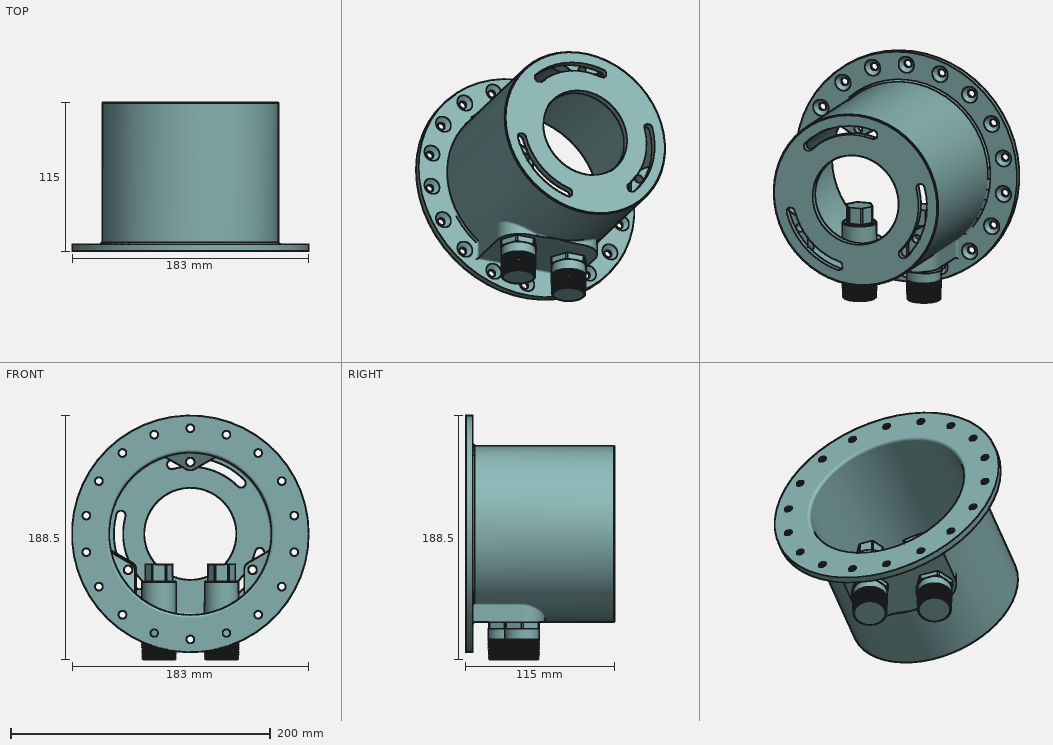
import cadquery as cq
import math

FLANGE_RADIUS = 91.5
FLANGE_THICKNESS = 5.5
TOTAL_DEPTH = 115.0
TUBE_RADIUS = 68.0
TUBE_END_CHAMFER = 0.8
TUBE_FLANGE_FILLET = 1.5

BORE_RADIUS = 62.6
MOUTH_FILLET = 2.5
FLOOR_FILLET = 1.9
PLATE_THICKNESS = 5.7
PLATE_INNER_Y = TOTAL_DEPTH - PLATE_THICKNESS
PLATE_HOLE_RADIUS = 35.5

BOLT_COUNT = 18
BOLT_CIRCLE_RADIUS = 81.5
BOLT_HOLE_DIAMETER = 5.8
BOLT_SINK_LIP = 1.9
BOLT_SINK_DIAMETER = 12.8

LUG_CIRCLE_RADIUS = 55.5
LUG_ANGLES = (90, 210, 330)
LUG_HOLE_DIAMETER = 6.5
LUG_TIP_RADIUS = 6.5
LUG_SIDE_ANGLE = 60
LUG_TIP_Y = PLATE_INNER_Y - 5.7
LUG_ROOT_Y = LUG_TIP_Y - 7.5
STEPPED_LUG_ANGLE = 210
LUG_STEP_WIDTH = 1.3
LUG_STEP_Y = PLATE_INNER_Y - 3.8
SLOT_WIDTH = 7.0
SLOT_START = -45
SLOT_END = 15

PAD_HALF_WIDTH = 41.3
PAD_BACK_Y = 61.0
PAD_CORNER_RADIUS = 18.9
PAD_FILLET = 1.5
PAD_TRIM = 3.8

FITTING_X = 24.1
FITTING_CENTERS = ((-FITTING_X, 30.5), (FITTING_X, 43.4))
COLLAR_RADIUS = 13.2
COLLAR_TOP_Z = -36.4
COLLAR_CHAMFER = 1.0
CAP_TOP_Z = -23.5
CAP_ACROSS_FLATS = 18.9
NUT_ACROSS_FLATS = 26.2
CAP_CORNER_CHAMFER = 0.8
NUT_CORNER_CHAMFER = 1.0
NUT_BOTTOM_Z = -73.2
SHANK_RADIUS = 13.4
SHANK_BOTTOM_Z = -81.3
FITTING_BOTTOM_Z = FLANGE_RADIUS - 188.5
THREAD_COUNT = 9
THREAD_DEPTH = 1.0
THREAD_TAPER = 1 / 32


def y_cylinder(radius, start, end):
    return cq.Workplane("XZ", origin=(0, start, 0)).circle(radius).extrude(start - end)


def polar(radius, degrees):
    angle = math.radians(degrees)
    return radius * math.cos(angle), radius * math.sin(angle)


def y_revolve(profile):
    """Revolve an outline of (radius, Y) points about the Y axis."""
    return cq.Workplane("XY").polyline(profile).close().revolve(360, (0, 0, 0), (0, 1, 0))


def make_bore():
    mouth_radius = BORE_RADIUS + MOUTH_FILLET
    mouth_sag = MOUTH_FILLET * (1 - math.sqrt(0.5))
    floor_sag = FLOOR_FILLET * (1 - math.sqrt(0.5))
    return (
        cq.Workplane("XY")
        .lineTo(mouth_radius, 0)
        .threePointArc((BORE_RADIUS + mouth_sag, mouth_sag), (BORE_RADIUS, MOUTH_FILLET))
        .lineTo(BORE_RADIUS, PLATE_INNER_Y - FLOOR_FILLET)
        .threePointArc(
            (BORE_RADIUS - floor_sag, PLATE_INNER_Y - floor_sag),
            (BORE_RADIUS - FLOOR_FILLET, PLATE_INNER_Y),
        )
        .lineTo(0, PLATE_INNER_Y)
        .close()
        .revolve(360, (0, 0, 0), (0, 1, 0))
    )


def make_pad():
    """Pad hanging below the tube; its underside is trimmed flush later."""
    return (
        cq.Workplane("XY", origin=(0, PAD_BACK_Y / 2, -TUBE_RADIUS - PAD_TRIM))
        .rect(2 * PAD_HALF_WIDTH, PAD_BACK_Y)
        .extrude(TUBE_RADIUS / 2)
        .edges("|Z and >Y")
        .fillet(PAD_CORNER_RADIUS)
    )


def make_shell():
    tube = y_cylinder(TUBE_RADIUS, 0, TOTAL_DEPTH).faces(">Y").chamfer(TUBE_END_CHAMFER)
    trim = (
        cq.Workplane("XY", origin=(0, 0, -TUBE_RADIUS))
        .rect(2 * TOTAL_DEPTH, 2 * TOTAL_DEPTH)
        .extrude(-2 * PAD_TRIM)
    )
    join_zone = cq.selectors.BoxSelector(
        (-PAD_HALF_WIDTH - 1.9, FLANGE_THICKNESS, -TUBE_RADIUS - PAD_TRIM / 2),
        (PAD_HALF_WIDTH + 1.9, PAD_BACK_Y + 1.9, 0),
    )
    body = tube.union(make_pad())
    join_edges = body.edges(join_zone).edges("not |Z")
    body = join_edges.fillet(PAD_FILLET).cut(trim)

    flange = y_cylinder(FLANGE_RADIUS, 0, FLANGE_THICKNESS)
    foot_zone = cq.selectors.BoxSelector(
        (-TUBE_RADIUS - 1.9, FLANGE_THICKNESS - 0.2, -TUBE_RADIUS - 1.9),
        (TUBE_RADIUS + 1.9, FLANGE_THICKNESS + 0.2, TUBE_RADIUS + 1.9),
        boundingbox=True,
    )
    return body.union(flange).edges(foot_zone).fillet(TUBE_FLANGE_FILLET)


def make_lug(angle, tip_radius, front_y):
    """Lug pointing at the axis: a rounded tip with two straight sides running out past the wall."""
    tangent = polar(tip_radius, 90 + LUG_SIDE_ANGLE)
    run = polar(LUG_CIRCLE_RADIUS, LUG_SIDE_ANGLE)
    near_x = LUG_CIRCLE_RADIUS + tangent[0]
    near_z = tangent[1]
    far_x = near_x + run[0]
    far_z = near_z + run[1]
    return (
        cq.Workplane("XZ", origin=(0, front_y, 0))
        .moveTo(far_x, -far_z)
        .lineTo(near_x, -near_z)
        .threePointArc((LUG_CIRCLE_RADIUS - tip_radius, 0), (near_x, near_z))
        .lineTo(far_x, far_z)
        .close()
        .extrude(front_y - PLATE_INNER_Y)
        .rotate((0, 0, 0), (0, 1, 0), -angle)
    )


def make_lugs():
    """Lugs whose front faces slope back from the bore wall to their tips."""
    lugs = cq.Workplane("XY")
    for angle in LUG_ANGLES:
        if angle == STEPPED_LUG_ANGLE:
            lugs = lugs.add(make_lug(angle, LUG_TIP_RADIUS - LUG_STEP_WIDTH, LUG_ROOT_Y))
            lugs = lugs.add(make_lug(angle, LUG_TIP_RADIUS, LUG_STEP_Y))
        else:
            lugs = lugs.add(make_lug(angle, LUG_TIP_RADIUS, LUG_ROOT_Y))
    lugs = lugs.combine()
    tip_distance = LUG_CIRCLE_RADIUS - LUG_TIP_RADIUS
    slope = y_revolve(
        [
            (0, LUG_ROOT_Y),
            (BORE_RADIUS, LUG_ROOT_Y),
            (tip_distance, LUG_TIP_Y),
            (0, LUG_TIP_Y),
        ]
    )
    return lugs.cut(slope).intersect(y_cylinder((BORE_RADIUS + TUBE_RADIUS) / 2, 0, TOTAL_DEPTH))


def make_slot(lug_angle):
    """Arc slot through the end plate, with round ends."""
    start = lug_angle + SLOT_START
    end = lug_angle + SLOT_END
    inner = LUG_CIRCLE_RADIUS - SLOT_WIDTH / 2
    outer = LUG_CIRCLE_RADIUS + SLOT_WIDTH / 2
    middle = (start + end) / 2
    return (
        cq.Workplane("XZ", origin=(0, PLATE_INNER_Y, 0))
        .moveTo(*polar(inner, start))
        .threePointArc(polar(inner, middle), polar(inner, end))
        .tangentArcPoint(polar(outer, end), relative=False)
        .threePointArc(polar(outer, middle), polar(outer, start))
        .tangentArcPoint(polar(inner, start), relative=False)
        .close()
        .extrude(-PLATE_THICKNESS)
    )


def make_hex(across_flats, corner_chamfer, center, bottom, top):
    """Upright hexagon with corners towards -X and +X and lightly cut vertical edges."""
    across_corners = across_flats / math.cos(math.radians(30))
    return (
        cq.Workplane("XY", origin=(*center, bottom))
        .polygon(6, across_corners)
        .extrude(top - bottom)
        .edges("|Z")
        .chamfer(corner_chamfer)
    )


def make_thread(center):
    """Tapered pipe thread made as a stack of pointed rings."""
    pitch = (SHANK_BOTTOM_Z - FITTING_BOTTOM_Z) / THREAD_COUNT
    outline = [(0, SHANK_BOTTOM_Z)]
    for ring in range(THREAD_COUNT):
        depth = ring * pitch
        root = SHANK_RADIUS - THREAD_DEPTH - depth * THREAD_TAPER
        crest = root + THREAD_DEPTH
        outline.append((root, SHANK_BOTTOM_Z - depth))
        outline.append((crest, SHANK_BOTTOM_Z - depth - pitch / 2))
    outline.append((root, FITTING_BOTTOM_Z))
    outline.append((0, FITTING_BOTTOM_Z))
    thread = cq.Workplane("XZ").polyline(outline).close().revolve(360, (0, 0, 0), (0, 1, 0))
    return thread.translate((*center, 0))


def make_fitting(center):
    collar = (
        cq.Workplane("XY", origin=(*center, -TUBE_RADIUS))
        .circle(COLLAR_RADIUS)
        .extrude(COLLAR_TOP_Z + TUBE_RADIUS)
        .faces(">Z")
        .chamfer(COLLAR_CHAMFER)
    )
    shank = (
        cq.Workplane("XY", origin=(*center, SHANK_BOTTOM_Z))
        .circle(SHANK_RADIUS)
        .extrude(NUT_BOTTOM_Z - SHANK_BOTTOM_Z)
    )
    cap = make_hex(CAP_ACROSS_FLATS, CAP_CORNER_CHAMFER, center, COLLAR_TOP_Z, CAP_TOP_Z)
    nut = make_hex(NUT_ACROSS_FLATS, NUT_CORNER_CHAMFER, center, NUT_BOTTOM_Z, -TUBE_RADIUS)
    return collar.union(cap).union(nut).union(shank).union(make_thread(center))


def drill(start, end, diameter, radius, angles):
    """Cutters for round holes along Y, spread around the tube axis."""
    centers = [polar(radius, angle) for angle in angles]
    return (
        cq.Workplane("XZ", origin=(0, start, 0))
        .pushPoints(centers)
        .circle(diameter / 2)
        .extrude(start - end)
    )


def make_countersink(angle):
    """Cone opening towards the rear face of the flange."""
    center_x, center_z = polar(BOLT_CIRCLE_RADIUS, angle)
    cone = y_revolve(
        [
            (0, BOLT_SINK_LIP),
            (BOLT_HOLE_DIAMETER / 2, BOLT_SINK_LIP),
            (BOLT_SINK_DIAMETER / 2, FLANGE_THICKNESS),
            (0, FLANGE_THICKNESS),
        ]
    )
    return cone.translate((center_x, 0, center_z))


bolt_angles = [90 + index * 360 / BOLT_COUNT for index in range(BOLT_COUNT)]

result = make_shell().cut(make_bore())
result = result.cut(y_cylinder(PLATE_HOLE_RADIUS, 0, TOTAL_DEPTH))
for lug_angle in LUG_ANGLES:
    result = result.cut(make_slot(lug_angle))
result = result.union(make_lugs())
result = result.cut(drill(0, TOTAL_DEPTH, LUG_HOLE_DIAMETER, LUG_CIRCLE_RADIUS, LUG_ANGLES))
result = result.cut(drill(0, FLANGE_THICKNESS, BOLT_HOLE_DIAMETER, BOLT_CIRCLE_RADIUS, bolt_angles))
for bolt_angle in bolt_angles:
    result = result.cut(make_countersink(bolt_angle))
for fitting_center in FITTING_CENTERS:
    result = result.union(make_fitting(fitting_center))